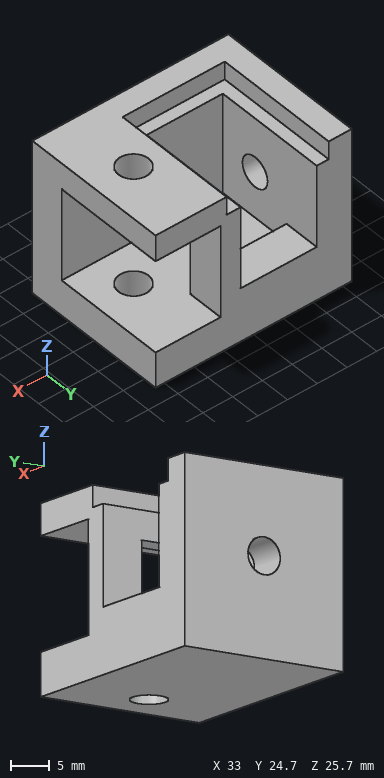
import cadquery as cq

length = 33.0
depth = 24.7
height = 25.7

lid_wall = 3.9
lid_width = 17.15
lid_depth = 3.0
pocket_left = 5.9
pocket_width = 12.8
pocket_right = pocket_left + pocket_width
front_wall = 5.9
sill_height = 9.0

window_size = 12.75
window_top = 18.7
window_bottom = window_top - window_size
divider_thickness = 3.35

hole_diameter = 5.0
long_hole_height = 13.65
cavity_left = pocket_right + divider_thickness
cavity_height = 2 * (long_hole_height - window_bottom)

vertical_hole_x = 26.35


def box(x, y, z, size_x, size_y, size_z):
    """Box placed by its lowest corner."""
    return cq.Workplane("XY").box(size_x, size_y, size_z, centered=False).translate((x, y, z))


block = box(0, 0, 0, length, depth, height)

lid_recess = box(lid_wall, lid_wall, height - lid_depth, lid_width, depth - lid_wall, lid_depth)
pocket = box(
    pocket_left, front_wall, sill_height,
    pocket_width, depth - front_wall, height - sill_height,
)

window = box(
    pocket_left, front_wall, window_bottom,
    cavity_left - pocket_left, window_size, window_size,
)
side_cavity = box(
    cavity_left, front_wall, window_bottom,
    length - cavity_left, depth - front_wall, cavity_height,
)

long_hole = (
    cq.Workplane("YZ")
    .center(depth / 2, long_hole_height)
    .circle(hole_diameter / 2)
    .extrude(length)
)
vertical_hole = (
    cq.Workplane("XY")
    .center(vertical_hole_x, depth / 2)
    .circle(hole_diameter / 2)
    .extrude(height)
)

result = block
for cutter in (lid_recess, pocket, window, side_cavity, long_hole, vertical_hole):
    result = result.cut(cutter)